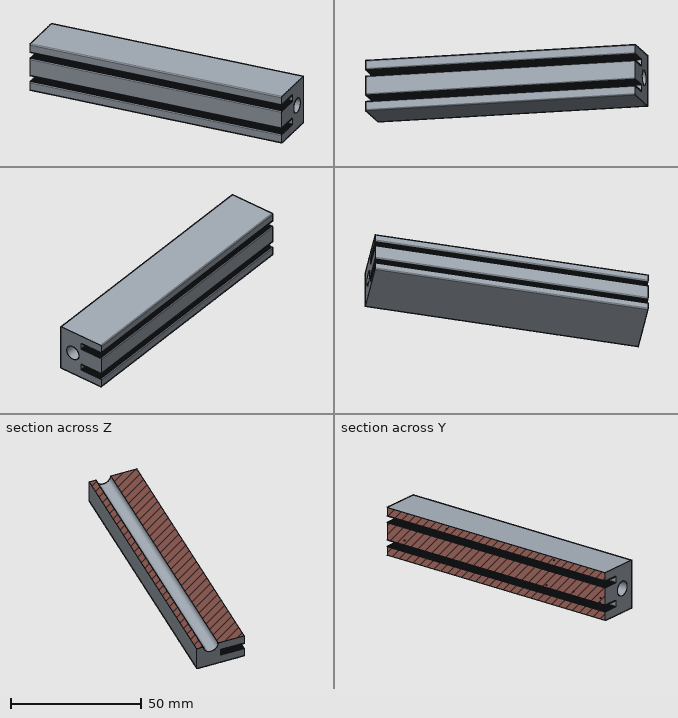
import cadquery as cq

length = 107.0
side = 20.0
corner_radius = 0.4
front_y = -side / 2
back_y = side / 2

slot_width = 2.5
slot_depth = side / 2
slot_offset = side / 4
mouth_land = 0.5
ridge_count = 30
ridge_height = 0.1

bore_diameter = 6.0
bore_from_back = 6.0


def section_plane():
    """YZ sketch plane at the -X end of the bar, with its origin on the bar axis."""
    return cq.Workplane("YZ", origin=(-length / 2, 0, 0))


def make_slot_cutter(height):
    """Full-length slot centred at the given height, with V ridges along X on both walls."""
    floor_y = front_y + slot_depth
    mouth_y = front_y + mouth_land
    pitch = (floor_y - mouth_y) / ridge_count
    crest = slot_width / 2
    root = crest + ridge_height

    wall = [(front_y, crest), (mouth_y, crest)]
    for ridge in range(ridge_count):
        start_y = mouth_y + ridge * pitch
        wall.append((start_y + pitch / 2, root))
        wall.append((start_y + pitch, crest))

    upper_wall = [(y, height + half_width) for y, half_width in wall]
    lower_wall = [(y, height - half_width) for y, half_width in reversed(wall)]
    return section_plane().polyline(upper_wall + lower_wall).close().extrude(length)


def make_bore_cutter():
    """Round hole through the whole bar."""
    bore_y = back_y - bore_from_back
    return section_plane().center(bore_y, 0).circle(bore_diameter / 2).extrude(length)


body = section_plane().rect(side, side).extrude(length)
for slot_height in (-slot_offset, slot_offset):
    body = body.cut(make_slot_cutter(slot_height))

body = body.edges("|X and (<Y or >Y)").fillet(corner_radius)

result = body.cut(make_bore_cutter())